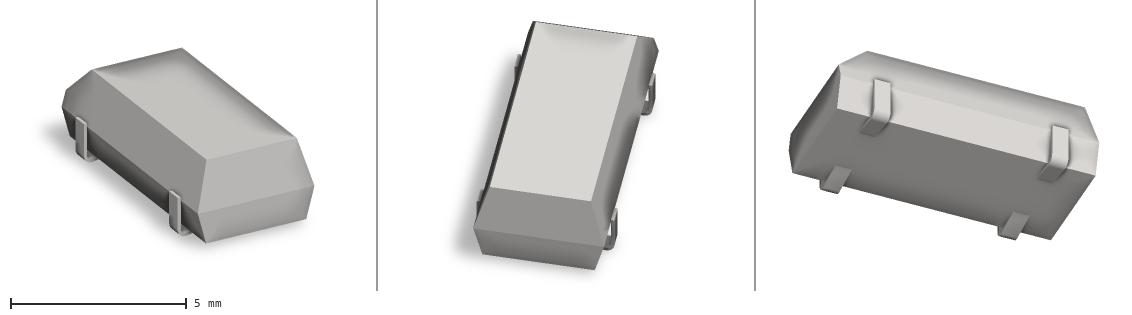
import cadquery as cq
import math


body_length = 8.0
body_width = 3.8
body_height = 2.5
parting_height = 1.0
side_draft = 16.0
underside_draft = 15.0
end_draft = 10.0
nose_chamfer = 1.0

lead_width = 0.5
lead_thickness = 0.1
lead_centre_x = 2.75
lead_top_height = 1.1
bend_radius = 0.25
foot_rise = 10.0
standoff = 0.16

body_bottom = standoff
body_top = body_bottom + body_height
parting_z = body_bottom + parting_height
lead_outer_y = body_width / 2 + lead_thickness


def make_body():
    """Hexagonal cross-section trimmed by the long-side profile."""
    half_length = body_length / 2
    half_width = body_width / 2
    cap_height = body_top - parting_z
    top_half_width = half_width - cap_height * math.tan(math.radians(side_draft))
    bottom_half_width = half_width - parting_height * math.tan(math.radians(underside_draft))
    end_setback = cap_height * math.tan(math.radians(end_draft))

    cross_section = (
        cq.Workplane("YZ")
        .moveTo(-bottom_half_width, body_bottom)
        .lineTo(bottom_half_width, body_bottom)
        .lineTo(half_width, parting_z)
        .lineTo(top_half_width, body_top)
        .lineTo(-top_half_width, body_top)
        .lineTo(-half_width, parting_z)
        .close()
        .extrude(half_length, both=True)
    )
    side_profile = (
        cq.Workplane("XZ")
        .moveTo(-half_length, body_bottom)
        .lineTo(half_length, body_bottom)
        .lineTo(half_length, parting_z)
        .lineTo(half_length - end_setback, body_top)
        .lineTo(-half_length + nose_chamfer, body_top)
        .lineTo(-half_length, body_top - nose_chamfer)
        .close()
        .extrude(half_width, both=True)
    )
    return cross_section.intersect(side_profile)


def make_lead(centre_x):
    """Bent strip on the +Y side: upright, bend, and foot rising into the body."""
    inner_radius = bend_radius - lead_thickness
    bend_y = lead_outer_y - bend_radius
    bend_z = bend_radius
    lead_top = body_bottom + lead_top_height
    bend_end = -(90 + foot_rise)
    bend_middle = bend_end / 2

    def on_bend(radius, degrees):
        angle = math.radians(degrees)
        return bend_y + radius * math.cos(angle), bend_z + radius * math.sin(angle)

    outer_end = on_bend(bend_radius, bend_end)
    inner_end = on_bend(inner_radius, bend_end)

    foot_angle = math.radians(foot_rise)
    foot_length = (body_bottom - outer_end[1]) / math.sin(foot_angle)
    foot_y = -foot_length * math.cos(foot_angle)
    foot_z = foot_length * math.sin(foot_angle)

    return (
        cq.Workplane("YZ", origin=(centre_x, 0, 0))
        .moveTo(lead_outer_y, lead_top)
        .lineTo(lead_outer_y, bend_z)
        .threePointArc(on_bend(bend_radius, bend_middle), outer_end)
        .lineTo(outer_end[0] + foot_y, outer_end[1] + foot_z)
        .lineTo(inner_end[0] + foot_y, inner_end[1] + foot_z)
        .lineTo(*inner_end)
        .threePointArc(on_bend(inner_radius, bend_middle), (bend_y + inner_radius, bend_z))
        .lineTo(bend_y + inner_radius, lead_top)
        .close()
        .extrude(lead_width / 2, both=True)
    )


result = make_body()
for centre_x in (-lead_centre_x, lead_centre_x):
    lead = make_lead(centre_x)
    result = result.union(lead).union(lead.mirror("XZ"))